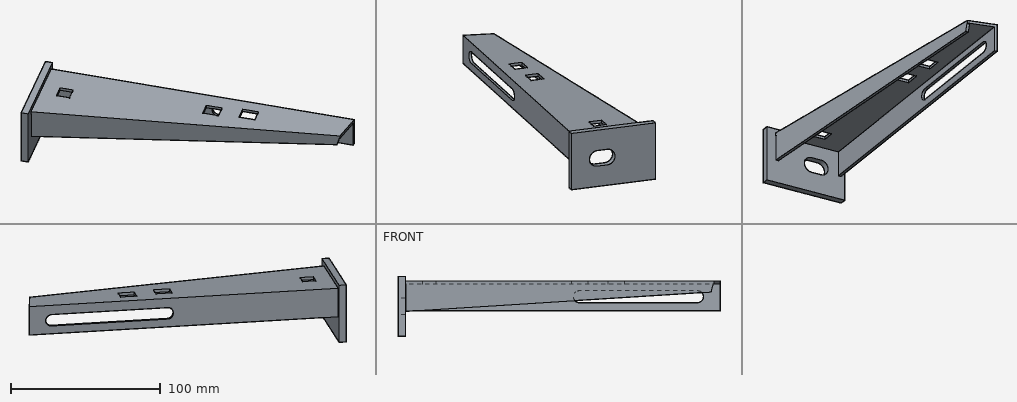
import cadquery as cq
import math


PLATE_THICKNESS = 5.0
PLATE_WIDTH = 60.0
PLATE_HEIGHT = 40.0
BOLT_SLOT_LENGTH = 18.0
BOLT_SLOT_WIDTH = 11.0
BOLT_SLOT_Y = 8.0

SHEET = 2.0
ARM_LENGTH = 215.0
ARM_TOP_Z = 17.0
ARM_REAR_Y = 26.9
ARM_ROOT_FRONT_Y = -23.2
ARM_TIP_FRONT_Y = 6.5
FRONT_TIP_X = 210.7

REAR_FLANGE_DEPTH = 20.0
FRONT_FLANGE_ROOT_DEPTH = 20.5
FRONT_FLANGE_TIP_DEPTH = 7.5
FRONT_FLANGE_END_SETBACK = 2.0

FLANGE_SLOT_START_X = 117.0
FLANGE_SLOT_END_X = 203.5
FLANGE_SLOT_WIDTH = 8.0
FLANGE_SLOT_Z = 6.5

HOLE_WIDTH = 9.0
LONG_HOLE_LENGTH = 11.0
TOP_HOLES = [
    (20.9, 3.5, HOLE_WIDTH, HOLE_WIDTH),
    (121.0, 11.0, LONG_HOLE_LENGTH, HOLE_WIDTH),
    (145.5, 13.3, LONG_HOLE_LENGTH, HOLE_WIDTH),
]


def make_mounting_plate():
    plate = cq.Workplane("XY").box(
        PLATE_THICKNESS, PLATE_WIDTH, PLATE_HEIGHT, centered=(False, True, True)
    )
    bolt_slot = (
        cq.Workplane("YZ")
        .center(BOLT_SLOT_Y, 0)
        .slot2D(BOLT_SLOT_LENGTH, BOLT_SLOT_WIDTH)
        .extrude(PLATE_THICKNESS)
    )
    return plate.cut(bolt_slot)


def make_top_sheet():
    outline = [
        (PLATE_THICKNESS, ARM_REAR_Y),
        (ARM_LENGTH, ARM_REAR_Y),
        (FRONT_TIP_X, ARM_TIP_FRONT_Y),
        (PLATE_THICKNESS, ARM_ROOT_FRONT_Y),
    ]
    sheet = cq.Workplane("XY").workplane(offset=ARM_TOP_Z).polyline(outline).close().extrude(-SHEET)
    for x, y, length, width in TOP_HOLES:
        hole = cq.Workplane("XY").box(length, width, SHEET).translate((x, y, ARM_TOP_Z - SHEET / 2))
        sheet = sheet.cut(hole)
    return sheet


def make_rear_flange():
    end_slant = (ARM_LENGTH - FRONT_TIP_X) / (ARM_REAR_Y - ARM_TIP_FRONT_Y)
    inner_y = ARM_REAR_Y - SHEET
    outline = [
        (PLATE_THICKNESS, ARM_REAR_Y),
        (ARM_LENGTH, ARM_REAR_Y),
        (ARM_LENGTH - end_slant * SHEET, inner_y),
        (PLATE_THICKNESS, inner_y),
    ]
    flange = (
        cq.Workplane("XY")
        .workplane(offset=ARM_TOP_Z)
        .polyline(outline)
        .close()
        .extrude(-REAR_FLANGE_DEPTH)
    )
    slot = (
        cq.Workplane("XZ", origin=(0, ARM_REAR_Y, 0))
        .center((FLANGE_SLOT_START_X + FLANGE_SLOT_END_X) / 2, FLANGE_SLOT_Z)
        .slot2D(FLANGE_SLOT_END_X - FLANGE_SLOT_START_X, FLANGE_SLOT_WIDTH)
        .extrude(SHEET)
    )
    return flange.cut(slot)


def make_front_flange():
    run = FRONT_TIP_X - PLATE_THICKNESS
    rise = ARM_TIP_FRONT_Y - ARM_ROOT_FRONT_Y
    edge_length = math.hypot(run, rise)
    thickness_x = SHEET * rise / edge_length
    thickness_y = SHEET * run / edge_length
    root_outer = (PLATE_THICKNESS + thickness_x, ARM_ROOT_FRONT_Y + thickness_x * rise / run)
    tip_outer = (FRONT_TIP_X, ARM_TIP_FRONT_Y)
    wall = (
        cq.Workplane("XY")
        .workplane(offset=ARM_TOP_Z)
        .moveTo(*root_outer)
        .lineTo(*tip_outer)
        .line(-thickness_x, thickness_y)
        .lineTo(root_outer[0] - thickness_x, root_outer[1] + thickness_y)
        .close()
        .extrude(-FRONT_FLANGE_ROOT_DEPTH)
    )
    profile = [
        (PLATE_THICKNESS, ARM_TOP_Z),
        (FRONT_TIP_X, ARM_TOP_Z),
        (FRONT_TIP_X - FRONT_FLANGE_END_SETBACK, ARM_TOP_Z - FRONT_FLANGE_TIP_DEPTH),
        (PLATE_THICKNESS, ARM_TOP_Z - FRONT_FLANGE_ROOT_DEPTH),
    ]
    trim = cq.Workplane("XZ").polyline(profile).close().extrude(PLATE_WIDTH / 2, both=True)
    return wall.intersect(trim)


def make_arm():
    return make_top_sheet().union(make_rear_flange()).union(make_front_flange())


mounting_plate = make_mounting_plate()
arm = make_arm()

result = cq.Compound.makeCompound([mounting_plate.val(), *arm.solids().vals()])